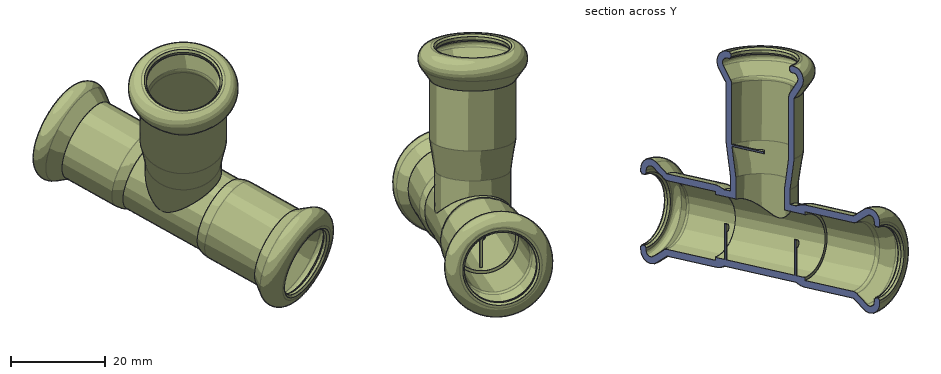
import cadquery as cq
import math

RUN_LENGTH = 64.0
BRANCH_HEIGHT = 39.2
WALL = 1.6
BEAD_RADIUS = 11.6
BEAD_ROUND = 2.74
BEAD_CONE_ANGLE = math.radians(35)
TUBE_RADIUS = 9.15
SOCKET_DEPTH = 20.0

LIP_RADIUS = 7.8
LIP_CHAMFER = 0.45

RUN_NECK_RADIUS = 8.5
RUN_NECK_DEPTH = 22.4

REDUCER_START_DEPTH = 20.4
REDUCER_END_DEPTH = 27.4
BRANCH_NECK_RADIUS = 8.05

TAB_HEAD_RADIUS = 0.95
TAB_STEM_WIDTH = 0.6
TAB_THICKNESS = 0.5

HALF_RUN = RUN_LENGTH / 2
SOCKET_BORE = TUBE_RADIUS - WALL
RUN_BORE = RUN_NECK_RADIUS - WALL
BRANCH_BORE = BRANCH_NECK_RADIUS - WALL
BEAD_CENTER = BEAD_RADIUS - BEAD_ROUND
CAVITY_ROUND = BEAD_ROUND - WALL


def bead_point(round_radius, angle):
    """(radius, depth) on a circle about the bead centre; 0 points outward, 90 deg along the port."""
    radius = BEAD_CENTER + round_radius * math.cos(angle)
    depth = BEAD_ROUND + round_radius * math.sin(angle)
    return radius, depth


def cone_root():
    """(radius, depth) where the outer cone behind the bead meets the tube."""
    radius, depth = bead_point(BEAD_ROUND, BEAD_CONE_ANGLE)
    return TUBE_RADIUS, depth + (radius - TUBE_RADIUS) / math.tan(BEAD_CONE_ANGLE)


def root_point(angle):
    """(radius, depth) one wall thickness inside the cone root, at an angle from the radial direction."""
    radius, depth = cone_root()
    return radius - WALL * math.cos(angle), depth - WALL * math.sin(angle)


def revolve_port(profile):
    """Revolve a (radius, depth) profile about the port axis; depth runs along local Y."""
    return profile.close().revolve(360, (0, 0, 0), (0, 1, 0))


def outer_bead():
    """Profile from the axis at the mouth, round the bead and down its cone to the tube."""
    return (
        cq.Workplane("XY")
        .lineTo(BEAD_CENTER, 0)
        .threePointArc(bead_point(BEAD_ROUND, 0), bead_point(BEAD_ROUND, BEAD_CONE_ANGLE))
        .lineTo(*cone_root())
    )


def inner_socket():
    """Profile from the axis at the mouth, past the chamfered lip and seal cavity, to the socket bore."""
    return (
        cq.Workplane("XY")
        .lineTo(LIP_RADIUS + LIP_CHAMFER, 0)
        .lineTo(LIP_RADIUS, LIP_CHAMFER)
        .lineTo(LIP_RADIUS, WALL - LIP_CHAMFER)
        .lineTo(LIP_RADIUS + LIP_CHAMFER, WALL)
        .lineTo(BEAD_CENTER, WALL)
        .threePointArc(bead_point(CAVITY_ROUND, 0), bead_point(CAVITY_ROUND, BEAD_CONE_ANGLE))
        .lineTo(*root_point(BEAD_CONE_ANGLE))
        .threePointArc(root_point(BEAD_CONE_ANGLE / 2), root_point(0))
    )


def run_outside():
    """Half of the run, with the tube rounded down to the neck."""
    drop = TUBE_RADIUS - RUN_NECK_RADIUS
    length = RUN_NECK_DEPTH - SOCKET_DEPTH
    shoulder_round = (length**2 + drop**2) / (2 * drop)
    half_angle = math.asin(length / shoulder_round) / 2
    shoulder_middle = (
        TUBE_RADIUS - shoulder_round * (1 - math.cos(half_angle)),
        SOCKET_DEPTH + shoulder_round * math.sin(half_angle),
    )
    return revolve_port(
        outer_bead()
        .lineTo(TUBE_RADIUS, SOCKET_DEPTH)
        .threePointArc(shoulder_middle, (RUN_NECK_RADIUS, RUN_NECK_DEPTH))
        .lineTo(RUN_NECK_RADIUS, HALF_RUN)
        .lineTo(0, HALF_RUN)
    )


def run_inside():
    """Half of the run bore, with a flat tube stop."""
    return revolve_port(
        inner_socket()
        .lineTo(SOCKET_BORE, SOCKET_DEPTH)
        .lineTo(RUN_BORE, SOCKET_DEPTH)
        .lineTo(RUN_BORE, HALF_RUN)
        .lineTo(0, HALF_RUN)
    )


def branch_side(profile, tube_radius, neck_radius):
    """Finish a branch profile: straight tube, conical reducer, and neck down to the run axis."""
    return revolve_port(
        profile
        .lineTo(tube_radius, REDUCER_START_DEPTH)
        .lineTo(neck_radius, REDUCER_END_DEPTH)
        .lineTo(neck_radius, BRANCH_HEIGHT)
        .lineTo(0, BRANCH_HEIGHT)
    )


def tab(start_depth, wall_radius):
    """Flat tab across the port axis, with its stem along local +X out into the wall."""
    stem_length = wall_radius + WALL / 2
    head = cq.Workplane("XZ").circle(TAB_HEAD_RADIUS).extrude(-TAB_THICKNESS)
    stem = (
        cq.Workplane("XZ")
        .center(stem_length / 2, 0)
        .rect(stem_length, TAB_STEM_WIDTH)
        .extrude(-TAB_THICKNESS)
    )
    return head.union(stem).translate((0, start_depth, 0))


def place_left(port):
    """Turn a port so that its mouth faces -X and its local +X points down."""
    facing_left = port.rotate((0, 0, 0), (0, 0, 1), -90)
    return facing_left.rotate((0, 0, 0), (1, 0, 0), 90).translate((-HALF_RUN, 0, 0))


def place_top(port):
    """Turn a port so that its mouth faces +Z and its local +X stays along +X."""
    return port.rotate((0, 0, 0), (1, 0, 0), -90).translate((0, 0, BRANCH_HEIGHT))


def both_ends(left):
    """A run feature on the -X side together with its mirror image on the +X side."""
    return left.union(left.mirror("YZ"))


outside = both_ends(place_left(run_outside())).union(
    place_top(branch_side(outer_bead(), TUBE_RADIUS, BRANCH_NECK_RADIUS))
)
inside = both_ends(place_left(run_inside())).union(
    place_top(branch_side(inner_socket(), SOCKET_BORE, BRANCH_BORE))
)
run_tabs = both_ends(place_left(tab(RUN_NECK_DEPTH, RUN_BORE)))
branch_tab = place_top(tab(REDUCER_START_DEPTH, SOCKET_BORE))

result = outside.cut(inside).union(run_tabs).union(branch_tab)